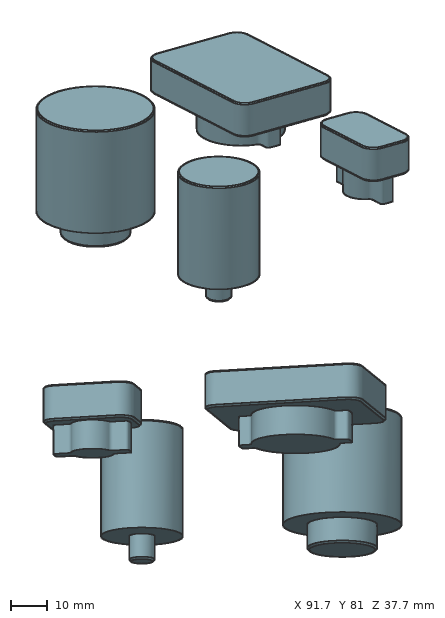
import cadquery as cq

top_chamfer = 0.4
bottom_chamfer = 0.55

handle_height = 30.0
stub_length = 7.0
large_handle_diameter = 32.2
large_stub_diameter = 19.0
small_handle_diameter = 22.2
small_stub_diameter = 7.0
small_plug_x = 56.1

block_height = 10.0
corner_radius = 4.0
post_length = 8.0

large_block_length = 44.0
large_block_width = 32.0
large_post_diameter = 24.0
large_key_span = 31.0
large_key_width = 4.7
large_cap_x = 0.1
large_cap_y = 48.9
large_cap_top = handle_height

small_block_length = 25.3
small_block_width = 15.0
small_post_diameter = 11.8
small_key_span = 21.3
small_key_width = 4.0
small_cap_x = 57.1
small_cap_y = 48.4
small_cap_top = large_cap_top + 0.7

key_tip_fillet = 0.7
key_root_fillet = 1.1


def make_plug(handle_diameter, stub_diameter, x):
    """Round handle standing on Z = 0, with a coaxial stub below it."""
    handle = (
        cq.Workplane("XY")
        .circle(handle_diameter / 2)
        .extrude(handle_height)
        .faces(">Z")
        .chamfer(top_chamfer)
    )
    stub = (
        cq.Workplane("XY")
        .circle(stub_diameter / 2)
        .extrude(-stub_length)
        .faces("<Z")
        .chamfer(bottom_chamfer)
    )
    return handle.union(stub).translate((x, 0, 0))


def make_key(span, width):
    """Bar along X with ends rounded about the post axis."""
    bar = cq.Workplane("XY").rect(span, width).extrude(-post_length)
    envelope = cq.Workplane("XY").circle(span / 2).extrude(-post_length)
    return bar.intersect(envelope).edges("|Z").fillet(key_tip_fillet)


def make_keyed_post(diameter, key_span, key_width):
    """Round post, hanging below Z = 0, with a key on each side of it."""
    post = cq.Workplane("XY").circle(diameter / 2).extrude(-post_length)
    keyed_post = post.union(make_key(key_span, key_width))
    root_zone = cq.selectors.BoxSelector(
        (-diameter / 2, -key_width, -post_length),
        (diameter / 2, key_width, 0),
    )
    root_edges = keyed_post.edges("|Z").edges(root_zone)
    return root_edges.fillet(key_root_fillet)


def make_cap(length, width, post_diameter, key_span, key_width, x, y, top):
    """Rounded block with its top face at the given height, and a keyed post below it."""
    block = (
        cq.Workplane("XY")
        .rect(length, width)
        .extrude(block_height)
        .edges("|Z")
        .fillet(corner_radius)
        .faces(">Z")
        .chamfer(top_chamfer)
        .faces("<Z")
        .chamfer(bottom_chamfer)
    )
    cap = block.union(make_keyed_post(post_diameter, key_span, key_width))
    return cap.translate((x, y, top - block_height))


large_plug = make_plug(large_handle_diameter, large_stub_diameter, 0)
small_plug = make_plug(small_handle_diameter, small_stub_diameter, small_plug_x)

large_cap = make_cap(
    large_block_length,
    large_block_width,
    large_post_diameter,
    large_key_span,
    large_key_width,
    large_cap_x,
    large_cap_y,
    large_cap_top,
)
small_cap = make_cap(
    small_block_length,
    small_block_width,
    small_post_diameter,
    small_key_span,
    small_key_width,
    small_cap_x,
    small_cap_y,
    small_cap_top,
)

result = cq.Compound.makeCompound(
    [large_plug.val(), small_plug.val(), large_cap.val(), small_cap.val()]
)